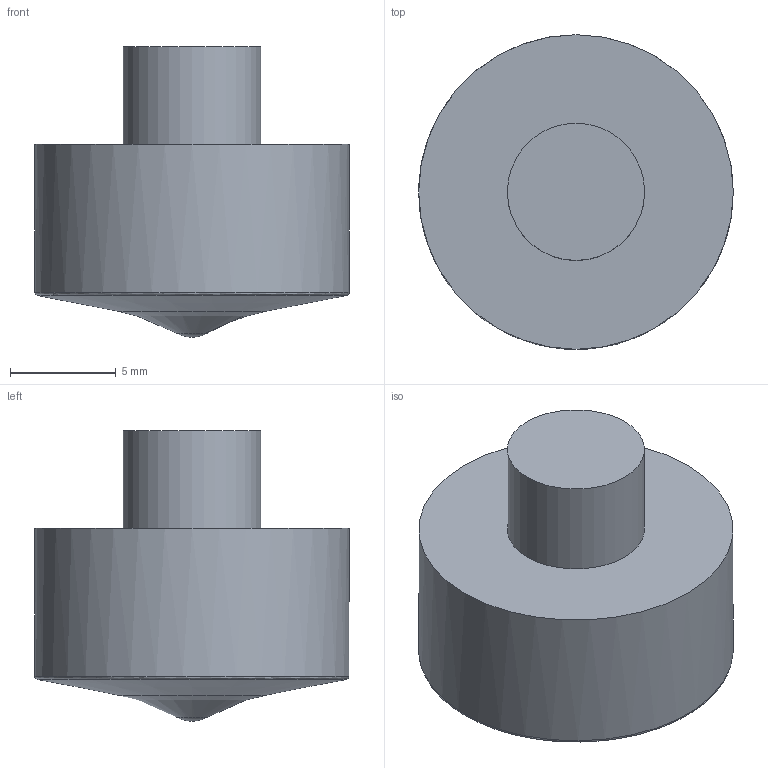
import cadquery as cq
import math

body_diameter = 14.9
stem_diameter = 6.5
total_height = 13.76
stem_height = 4.63
tip_radius = 1.5
flare_radius = 9.0
edge_radius = 0.15
nose_slope = math.radians(30)
cone_slope = math.radians(11)

body_radius = body_diameter / 2
stem_radius = stem_diameter / 2
shoulder_z = total_height - stem_height
flare_center_r = (tip_radius + flare_radius) * math.sin(nose_slope)
flare_center_z = tip_radius - (tip_radius + flare_radius) * math.cos(nose_slope)


def nose_point(slope):
    """Point (r, z) on the nose sphere where its surface has the given slope."""
    return (tip_radius * math.sin(slope), tip_radius * (1 - math.cos(slope)))


def flare_point(slope):
    """Point (r, z) on the concave flare where its surface has the given slope."""
    return (
        flare_center_r - flare_radius * math.sin(slope),
        flare_center_z + flare_radius * math.cos(slope),
    )


def half_profile():
    """Closed half section of the part, on the XZ plane from the axis outwards."""
    cone_start_r, cone_start_z = flare_point(cone_slope)
    rim_z = cone_start_z + (body_radius - cone_start_r) * math.tan(cone_slope)
    return (
        cq.Workplane("XZ")
        .moveTo(0, 0)
        .threePointArc(nose_point(nose_slope / 2), nose_point(nose_slope))
        .threePointArc(flare_point((nose_slope + cone_slope) / 2), (cone_start_r, cone_start_z))
        .lineTo(body_radius, rim_z)
        .lineTo(body_radius, shoulder_z)
        .lineTo(stem_radius, shoulder_z)
        .lineTo(stem_radius, total_height)
        .lineTo(0, total_height)
        .close()
    )


def round_lower_rim(part):
    """Round the edge where the cone meets the cylindrical body."""
    lower_circles = part.edges("%CIRCLE").edges(
        cq.selectors.BoxSelector(
            (-body_diameter, -body_diameter, 0),
            (body_diameter, body_diameter, shoulder_z / 2),
            boundingbox=True,
        )
    )
    lower_rim = lower_circles.edges(">Z")
    return lower_rim.fillet(edge_radius)


turned = half_profile().revolve(360, (0, 0), (0, 1))
result = round_lower_rim(turned)